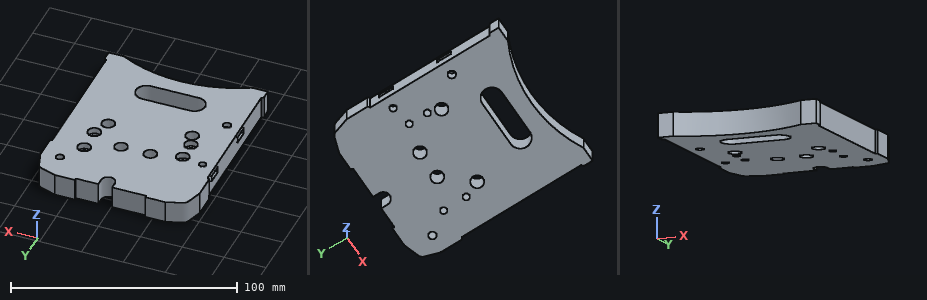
import cadquery as cq

length = 92.0
width = 76.2
thickness = 11.0
half_width = width / 2

side_recess_depth = 1.0
side_recess_start = 5.3
side_recess_end = 68.6
recess_chamfer = 0.7
shoulder_y = 80.3
corner_x = 35.2
corner_y = 89.1
corner_radius = 3.2
rear_flat_half = 26.3
rear_recess_half = 16.75
rear_recess_depth = 1.1
front_arc_half = 30.6
front_arc_rise = 7.5

notch_x = 2.8
notch_width = 6.5
notch_bottom = 84.3

slot_length = 32.9
slot_width = 10.1
slot_y = 20.9

large_diameter = 6.1
large_holes = [(-7.0, 61.8), (7.0, 61.8), (18.6, 48.3), (-19.1, 42.5)]
screw_diameter = 3.2
counterbore_depth = 3.0
counterbored_holes = [(22.0, 68.3), (22.0, 56.3), (-21.1, 58.3), (-21.1, 48.8)]
pin_diameter = 3.7
rear_pin_hole = (29.3, 78.95)
front_clamp_hole = (-30.55, 29.6)
rear_clamp_hole = (-31.3, 60.2)

pocket_width = 7.5
pocket_floor = 5.9
pocket_height = 2.8
pocket_depth = 9.2


def make_plate():
    """Extrude the symmetric outline and round its two rear corners."""
    recessed_x = half_width - side_recess_depth
    chamfer_x = half_width - recess_chamfer
    right_side = [
        (half_width, 0),
        (half_width, side_recess_start - recess_chamfer),
        (chamfer_x, side_recess_start),
        (recessed_x, side_recess_start),
        (recessed_x, side_recess_end),
        (chamfer_x, side_recess_end),
        (half_width, side_recess_end + recess_chamfer),
        (half_width, shoulder_y),
        (corner_x, corner_y),
        (rear_flat_half, length),
        (rear_recess_half, length),
        (rear_recess_half, length - rear_recess_depth),
    ]
    left_side = [(-x, y) for x, y in reversed(right_side)]
    plate = (
        cq.Workplane("XY")
        .moveTo(front_arc_half, 0)
        .polyline(right_side + left_side, includeCurrent=True)
        .lineTo(-front_arc_half, 0)
        .threePointArc((0, front_arc_rise), (front_arc_half, 0))
        .close()
        .extrude(thickness)
    )
    for x in (-corner_x, corner_x):
        corner = cq.selectors.NearestToPointSelector((x, corner_y, thickness / 2))
        plate = plate.edges("|Z").edges(corner).fillet(corner_radius)
    return plate


def drill(points, diameter, bottom=0.0):
    """Cylinders from the given height up to the top face."""
    return (
        cq.Workplane("XY", origin=(0, 0, bottom))
        .pushPoints(points)
        .circle(diameter / 2)
        .extrude(thickness - bottom)
    )


def make_notch():
    """U-shaped cutter opening through the rear edge."""
    radius = notch_width / 2
    centre_y = notch_bottom + radius
    straight = (
        cq.Workplane("XY")
        .center(notch_x, (centre_y + length) / 2)
        .rect(notch_width, length - centre_y)
        .extrude(thickness)
    )
    return straight.union(drill([(notch_x, centre_y)], notch_width))


def make_pocket(centre_y):
    """Box cutter entering from the recessed -X side."""
    pocket = cq.Workplane("XY").box(
        pocket_depth, pocket_width, pocket_height, centered=(False, True, False)
    )
    return pocket.translate((side_recess_depth - half_width, centre_y, pocket_floor))


slot = cq.Workplane("XY").center(0, slot_y).slot2D(slot_length, slot_width).extrude(thickness)

result = make_plate().cut(make_notch()).cut(slot)
result = result.cut(drill(large_holes, large_diameter))
result = result.cut(drill(counterbored_holes + [rear_clamp_hole], screw_diameter))
result = result.cut(drill(counterbored_holes, large_diameter, thickness - counterbore_depth))
result = result.cut(drill([rear_pin_hole, front_clamp_hole], pin_diameter))
for _, hole_y in (front_clamp_hole, rear_clamp_hole):
    result = result.cut(make_pocket(hole_y))